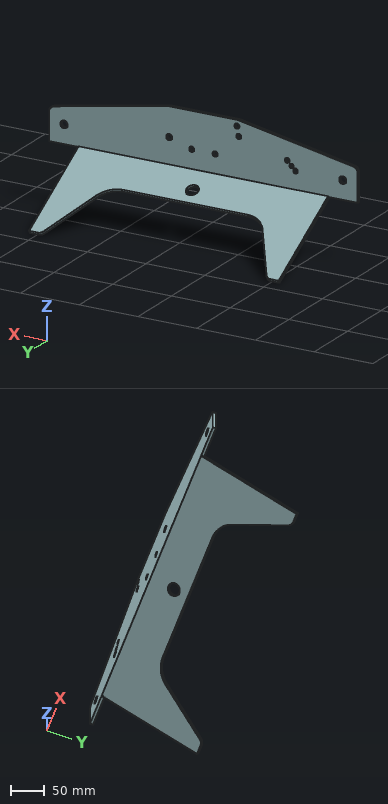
import cadquery as cq
import math

thickness = 5.0
flange_slope = 30.0
bend_angle = 90.0 - flange_slope

plate_length = 525.0
plate_top = 92.0
plate_shoulder = 53.5
plate_lip = 1.3
top_flat_length = 119.5
corner_radius = 8.5

flange_width = 425.0
flange_length = 170.5
notch_depth = 108.0
notch_mouth_width = 384.0
notch_side_angle = 60.0
notch_floor_radius = 41.0
notch_tip_radius = 10.0
flange_hole_diameter = 20.0
flange_hole_distance = 38.0

mount_hole_x = 237.0
plate_holes = [
    (-mount_hole_x, 30.0, 12.0),
    (mount_hole_x, 30.0, 12.0),
    (-157.0, 29.5, 8.0),
    (-150.0, 36.0, 7.0),
    (-143.0, 43.5, 8.0),
    (-57.0, 82.0, 8.5),
    (-60.5, 66.0, 8.5),
    (-20.0, 31.0, 8.5),
    (20.0, 31.0, 8.5),
    (58.5, 43.0, 10.0),
]


def make_plate():
    half_length = plate_length / 2
    half_flat = top_flat_length / 2
    outline = [
        (-half_length, -plate_lip),
        (half_length, -plate_lip),
        (half_length, plate_shoulder),
        (half_flat, plate_top),
        (-half_flat, plate_top),
        (-half_length, plate_shoulder),
    ]
    plate = cq.Workplane("XZ").polyline(outline).close().extrude(-thickness)
    upper_corners = cq.selectors.BoxSelector(
        (-plate_length, -thickness, plate_shoulder / 2),
        (plate_length, 2 * thickness, 2 * plate_top),
    )
    plate = plate.edges("|Y").edges(upper_corners).fillet(corner_radius)
    for x, z, diameter in plate_holes:
        drill = cq.Workplane("XZ").center(x, z).circle(diameter / 2).extrude(-thickness)
        plate = plate.cut(drill)
    return plate


def make_bend():
    """Wedge of the sheet turned about the inner corner line."""

    def outer_point(angle):
        turn = math.radians(angle)
        return (thickness * (1 - math.cos(turn)), -thickness * math.sin(turn))

    return (
        cq.Workplane("YZ")
        .moveTo(thickness, 0)
        .lineTo(0, 0)
        .threePointArc(outer_point(bend_angle / 2), outer_point(bend_angle))
        .close()
        .extrude(flange_width / 2, both=True)
    )


def make_flange():
    """Flat flange with a flared notch, then swung down about the inner corner."""
    half_width = flange_width / 2
    half_mouth = notch_mouth_width / 2
    notch_floor = flange_length - notch_depth
    half_floor = half_mouth - notch_depth / math.tan(math.radians(notch_side_angle))
    outline = [
        (-half_width, 0),
        (half_width, 0),
        (half_width, flange_length),
        (half_mouth, flange_length),
        (half_floor, notch_floor),
        (-half_floor, notch_floor),
        (-half_mouth, flange_length),
        (-half_width, flange_length),
    ]
    flange = cq.Workplane("XY").polyline(outline).close().extrude(-thickness)

    def round_notch_corners(body, half_spacing, distance, radius):
        reach = 0.5
        for x in (-half_spacing, half_spacing):
            corner = cq.selectors.BoxSelector(
                (x - reach, distance - reach, -thickness),
                (x + reach, distance + reach, 0),
            )
            body = body.edges("|Z").edges(corner).fillet(radius)
        return body

    flange = round_notch_corners(flange, half_floor, notch_floor, notch_floor_radius)
    flange = round_notch_corners(flange, half_mouth, flange_length, notch_tip_radius)
    drill = (
        cq.Workplane("XY")
        .center(0, flange_hole_distance)
        .circle(flange_hole_diameter / 2)
        .extrude(-thickness)
    )
    flange = flange.cut(drill)
    return flange.rotate((0, 0, 0), (1, 0, 0), -flange_slope).translate((0, thickness, 0))


result = make_plate().union(make_bend()).union(make_flange())